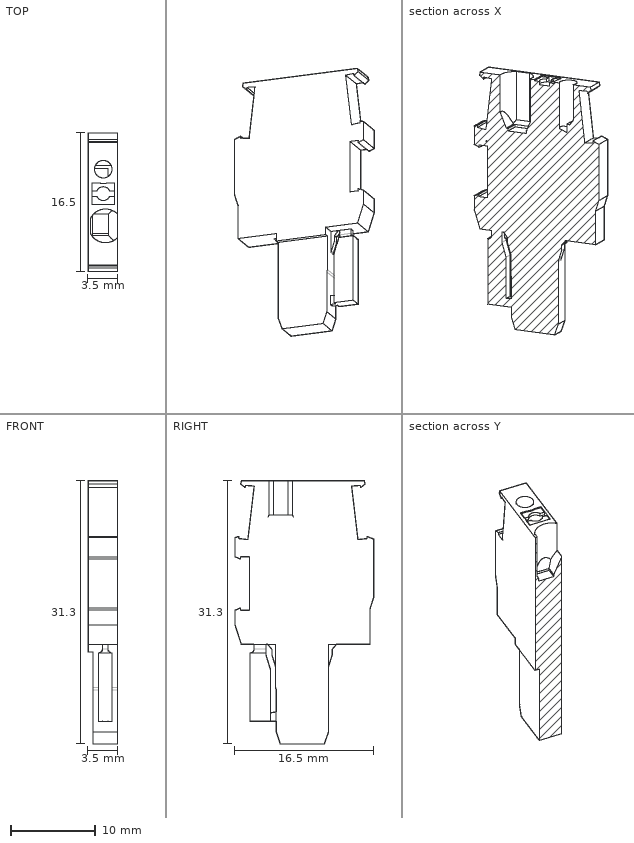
import cadquery as cq

THICKNESS = 3.5
LENGTH = 16.5
TOP_Z = 31.3

PLATE_HALF = 7.3
LIP_HALF = 7.4
LIP_SIDE_Z = TOP_Z - 0.42
LIP_TIP_HALF = 6.87
LIP_TIP_Z = TOP_Z - 0.85
LIP_ROOT_HALF = 6.8
LIP_ROOT_Z = TOP_Z - 0.6
NECK_TOP_HALF = 5.8
NECK_TOP_Z = TOP_Z - 0.67
NECK_BOTTOM_HALF = 6.55

SHOULDER_Z = 24.3
BARB_Y = 7.61
BARB_ROOT_Z = SHOULDER_Z + 0.12
BARB_TIP_Z = SHOULDER_Z + 0.37
BACK_Y = 8.42
BACK_TOP_Z = 24.35
BACK_BEND_Z = 17.4
BACK_LOWER_Y = 7.97
BACK_LOWER_Z = 16.03
FRONT_Y = BACK_Y - LENGTH
FRONT_TOP_Z = 24.53

NOTCH_Y = -6.35
NOTCH_TOP_Z = 22.23
NOTCH_BOTTOM_Z = 15.9
NOTCH_BARB_Y = -7.41
NOTCH_BARB_HEIGHT = 0.28
FRONT_CHAMFER_Z = 14.15
FRONT_FOOT_Y = -7.33
HOUSING_BOTTOM_Z = 11.85

PLUG_LEFT_X = 0.565
PLUG_TOP_Z = 10.92
PLUG_BACK_Y = 3.06
PLUG_FRONT_Y = -3.26
PLUG_LOWER_FRONT_Y = -3.17
PLUG_STEP_TOP_Z = 6.7
PLUG_STEP_BOTTOM_Z = 6.42
PLUG_CHAMFER_Z = 1.43
PLUG_TIP_BACK_Y = 2.55
PLUG_TIP_FRONT_Y = -2.7

PIN_CENTER_X = 2.03
PIN_WIDTH = 1.62
PIN_NECK_WIDTH = 0.68
PIN_FLARE_BOTTOM_Z = 10.82
PIN_FRONT_Y = -6.29
PIN_NECK_FRONT_Y = -5.81
PIN_NECK_BACK_Y = -4.38
PIN_BACK_Y = -3.84
PIN_RAMP_TOP_Z = 10.6
PIN_RAMP_BOTTOM_Z = 8.85
PIN_BOTTOM_Z = 2.69
WEB_PLUG_Z = 3.83
WEB_PIN_Z = 3.73

PLUG_MID_Y = (PLUG_BACK_Y + PLUG_FRONT_Y) / 2
GUSSET_REACH = 4.1
GUSSET_MID_REACH = 3.6
GUSSET_FOOT_REACH = 3.16
GUSSET_BEND_Z = 11.25
GUSSET_STRAIGHT_Z = 10.6
GUSSET_FOOT_Z = 9.2

TEST_X = 1.8
TEST_Y = 4.1
TEST_RADIUS = 1.04
TEST_DEPTH = 5.0
TEST_WEDGE_Y = 4.53
TEST_WEDGE_HEIGHT = 0.8
TEST_POCKET_Y = 4.16
TEST_POCKET_RIGHT_X = 2.36
TEST_POCKET_DEPTH = 1.0
TEST_POCKET_RISE = 0.4

MARKER_WIDTH = 2.65
MARKER_LENGTH = 2.57
MARKER_Y = 1.2
MARKER_DEPTH = 0.15
MARKER_SLOT_WIDTH = 0.67
MARKER_DISC_RADIUS = 0.82
MARKER_SLOT_DEPTH = 0.55
TEST_RIM_RADIUS = 1.7

WIRE_X = 2.07
WIRE_Y = -2.63
WIRE_RADIUS = 2.0
WIRE_LEFT_WALL = 0.27
WIRE_BORE_DEPTH = 4.0
FUNNEL_HEIGHT = 2.5
FUNNEL_FLARE = 1.1
FLOOR_LEFT_X = 0.505
FLOOR_RIGHT_X = 2.44
FLOOR_FRONT_Y = -3.8
FLOOR_BACK_Y = -1.21
FLOOR_LEDGE = 0.24
FLOOR_LEDGE_DEPTH = 0.3


def plate(points, x_min, x_max):
    """Extrude a (Y, Z) outline between two X positions."""
    return cq.Workplane("YZ").workplane(offset=x_min).polyline(points).close().extrude(x_max - x_min)


def box(x_min, x_max, y_min, y_max, z_min, z_max):
    size = (x_max - x_min, y_max - y_min, z_max - z_min)
    return cq.Workplane("XY").box(*size, centered=False).translate((x_min, y_min, z_min))


def cylinder(x, y, radius, z_min, z_max):
    return cq.Workplane("XY", origin=(x, y, z_min)).circle(radius).extrude(z_max - z_min)


def make_housing():
    upper_back = [
        (PLATE_HALF, TOP_Z),
        (LIP_HALF, LIP_SIDE_Z),
        (LIP_TIP_HALF, LIP_TIP_Z),
        (LIP_ROOT_HALF, LIP_ROOT_Z),
        (NECK_TOP_HALF, NECK_TOP_Z),
        (NECK_BOTTOM_HALF, SHOULDER_Z),
        (BARB_Y, BARB_ROOT_Z),
        (BARB_Y, BARB_TIP_Z),
    ]
    back_edge = [
        (BACK_Y, BACK_TOP_Z),
        (BACK_Y, BACK_BEND_Z),
        (BACK_LOWER_Y, BACK_LOWER_Z),
        (BACK_LOWER_Y, HOUSING_BOTTOM_Z),
    ]
    plug_root = [
        (PLUG_BACK_Y, HOUSING_BOTTOM_Z),
        (PLUG_BACK_Y, PLUG_TOP_Z),
        (PLUG_FRONT_Y, PLUG_TOP_Z),
        (PLUG_FRONT_Y, HOUSING_BOTTOM_Z),
    ]
    front_edge = [
        (FRONT_FOOT_Y, HOUSING_BOTTOM_Z),
        (FRONT_Y, FRONT_CHAMFER_Z),
        (FRONT_Y, NOTCH_BOTTOM_Z),
        (NOTCH_BARB_Y, NOTCH_BOTTOM_Z + NOTCH_BARB_HEIGHT),
        (NOTCH_BARB_Y, NOTCH_BOTTOM_Z),
        (NOTCH_Y, NOTCH_BOTTOM_Z),
        (NOTCH_Y, NOTCH_TOP_Z),
        (NOTCH_BARB_Y, NOTCH_TOP_Z),
        (NOTCH_BARB_Y, NOTCH_TOP_Z - NOTCH_BARB_HEIGHT),
        (FRONT_Y, NOTCH_TOP_Z),
        (FRONT_Y, FRONT_TOP_Z),
    ]
    upper_front = [(-y, z) for y, z in reversed(upper_back)]
    return plate(upper_back + back_edge + plug_root + front_edge + upper_front, 0, THICKNESS)


def make_plug():
    outline = [
        (PLUG_BACK_Y, HOUSING_BOTTOM_Z),
        (PLUG_BACK_Y, PLUG_CHAMFER_Z),
        (PLUG_TIP_BACK_Y, 0),
        (PLUG_TIP_FRONT_Y, 0),
        (PLUG_LOWER_FRONT_Y, PLUG_CHAMFER_Z),
        (PLUG_LOWER_FRONT_Y, PLUG_STEP_BOTTOM_Z),
        (PLUG_FRONT_Y, PLUG_STEP_TOP_Z),
        (PLUG_FRONT_Y, HOUSING_BOTTOM_Z),
    ]
    return plate(outline, PLUG_LEFT_X, THICKNESS)


def thin_plate(points):
    """Extrude a (Y, Z) outline to the pin neck's width, centred on the pin."""
    return plate(points, PIN_CENTER_X - PIN_NECK_WIDTH / 2, PIN_CENTER_X + PIN_NECK_WIDTH / 2)


def make_pin():
    side_radius = PIN_NECK_FRONT_Y - PIN_FRONT_Y
    side = (
        cq.Workplane("YZ")
        .moveTo(PIN_NECK_FRONT_Y, HOUSING_BOTTOM_Z)
        .lineTo(PIN_NECK_BACK_Y, HOUSING_BOTTOM_Z)
        .lineTo(PIN_NECK_BACK_Y, PIN_RAMP_TOP_Z)
        .lineTo(PIN_BACK_Y, PIN_RAMP_BOTTOM_Z)
        .lineTo(PIN_BACK_Y, PIN_BOTTOM_Z)
        .lineTo(PIN_FRONT_Y, PIN_BOTTOM_Z)
        .lineTo(PIN_FRONT_Y, PIN_FLARE_BOTTOM_Z)
        .radiusArc((PIN_NECK_FRONT_Y, PIN_FLARE_BOTTOM_Z + side_radius), -side_radius)
        .close()
        .extrude(THICKNESS)
    )
    flare_radius = (PIN_WIDTH - PIN_NECK_WIDTH) / 2
    flare_top_z = PIN_FLARE_BOTTOM_Z + flare_radius
    front = (
        cq.Workplane("XZ", origin=(PIN_CENTER_X, PIN_BACK_Y, 0))
        .moveTo(-PIN_NECK_WIDTH / 2, HOUSING_BOTTOM_Z)
        .lineTo(PIN_NECK_WIDTH / 2, HOUSING_BOTTOM_Z)
        .lineTo(PIN_NECK_WIDTH / 2, flare_top_z)
        .radiusArc((PIN_WIDTH / 2, PIN_FLARE_BOTTOM_Z), -flare_radius)
        .lineTo(PIN_WIDTH / 2, PIN_BOTTOM_Z)
        .lineTo(-PIN_WIDTH / 2, PIN_BOTTOM_Z)
        .lineTo(-PIN_WIDTH / 2, PIN_FLARE_BOTTOM_Z)
        .radiusArc((-PIN_NECK_WIDTH / 2, flare_top_z), -flare_radius)
        .close()
        .extrude(PIN_BACK_Y - PIN_FRONT_Y)
    )
    return side.intersect(front)


def make_web():
    return thin_plate([
        (PLUG_LOWER_FRONT_Y, PIN_BOTTOM_Z),
        (PLUG_LOWER_FRONT_Y, WEB_PLUG_Z),
        (PIN_BACK_Y, WEB_PIN_Z),
        (PIN_BACK_Y, PIN_BOTTOM_Z),
    ])


def make_gussets():
    half = [
        (GUSSET_REACH, HOUSING_BOTTOM_Z),
        (GUSSET_MID_REACH, GUSSET_BEND_Z),
        (GUSSET_MID_REACH, GUSSET_STRAIGHT_Z),
        (GUSSET_FOOT_REACH, GUSSET_FOOT_Z),
    ]
    back = [(PLUG_MID_Y + reach, z) for reach, z in half]
    front = [(PLUG_MID_Y - reach, z) for reach, z in reversed(half)]
    return thin_plate(back + front)


def make_test_hole():
    floor_z = TOP_Z - TEST_DEPTH
    bore = cylinder(TEST_X, TEST_Y, TEST_RADIUS, floor_z, TOP_Z)
    wedge = plate(
        [
            (TEST_WEDGE_Y, floor_z),
            (TEST_Y + TEST_RADIUS, floor_z),
            (TEST_Y + TEST_RADIUS, floor_z + TEST_WEDGE_HEIGHT),
        ],
        0,
        THICKNESS,
    )
    pocket_z = floor_z - TEST_POCKET_DEPTH
    front_y = TEST_Y - TEST_RADIUS
    pocket = plate(
        [
            (TEST_POCKET_Y, floor_z),
            (TEST_POCKET_Y, pocket_z),
            (front_y, pocket_z + TEST_POCKET_RISE),
            (front_y, floor_z),
        ],
        TEST_X - TEST_RADIUS,
        TEST_POCKET_RIGHT_X,
    )
    pocket = pocket.intersect(cylinder(TEST_X, TEST_Y, TEST_RADIUS, pocket_z, floor_z))
    return bore.cut(wedge).union(pocket)


def make_marker():
    left, right = TEST_X - MARKER_WIDTH / 2, TEST_X + MARKER_WIDTH / 2
    front, back = MARKER_Y - MARKER_LENGTH / 2, MARKER_Y + MARKER_LENGTH / 2
    field = box(left, right, front, back, TOP_Z - MARKER_DEPTH, TOP_Z)
    field = field.cut(cylinder(TEST_X, TEST_Y, TEST_RIM_RADIUS, TOP_Z - MARKER_DEPTH, TOP_Z))
    slot_front, slot_back = MARKER_Y - MARKER_SLOT_WIDTH / 2, MARKER_Y + MARKER_SLOT_WIDTH / 2
    slot_z = TOP_Z - MARKER_SLOT_DEPTH
    slot = box(left, right, slot_front, slot_back, slot_z, TOP_Z)
    disc = cylinder(TEST_X, MARKER_Y, MARKER_DISC_RADIUS, slot_z, TOP_Z)
    return field.union(slot).union(disc)


def make_wire_funnel():
    bore_z = TOP_Z - WIRE_BORE_DEPTH
    floor_z = bore_z - FUNNEL_HEIGHT
    floor_width = FLOOR_RIGHT_X - FLOOR_LEFT_X
    floor_length = FLOOR_BACK_Y - FLOOR_FRONT_Y
    floor_center = ((FLOOR_LEFT_X + FLOOR_RIGHT_X) / 2, (FLOOR_FRONT_Y + FLOOR_BACK_Y) / 2, floor_z)
    funnel = (
        cq.Workplane("XY", origin=floor_center)
        .rect(floor_width, floor_length)
        .workplane(offset=FUNNEL_HEIGHT)
        .rect(floor_width + 2 * FUNNEL_FLARE, floor_length + 2 * FUNNEL_FLARE)
        .loft(ruled=True)
    )
    well = box(
        FLOOR_LEFT_X,
        FLOOR_RIGHT_X,
        FLOOR_FRONT_Y + FLOOR_LEDGE,
        FLOOR_BACK_Y,
        floor_z - FLOOR_LEDGE_DEPTH,
        floor_z,
    )
    envelope = cylinder(WIRE_X, WIRE_Y, WIRE_RADIUS, floor_z - FLOOR_LEDGE_DEPTH, TOP_Z)
    bore = cylinder(WIRE_X, WIRE_Y, WIRE_RADIUS, bore_z, TOP_Z)
    cavity = funnel.union(well).intersect(envelope).union(bore)
    left_wall = box(0, WIRE_LEFT_WALL, WIRE_Y - WIRE_RADIUS, WIRE_Y + WIRE_RADIUS, floor_z, TOP_Z)
    return cavity.cut(left_wall)


result = make_housing()
for added in (make_plug(), make_gussets(), make_pin(), make_web()):
    result = result.union(added)
for removed in (make_test_hole(), make_marker(), make_wire_funnel()):
    result = result.cut(removed)